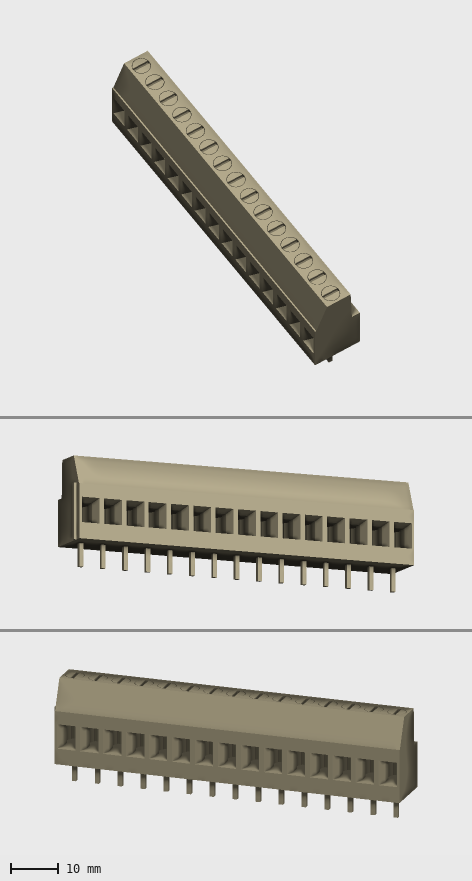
import cadquery as cq

total_length = 76.8
total_depth = 11.2
total_height = 23.0
pole_count = 15

rib_projection = 0.5
rib_width = 0.8
rib_height = 12.05
rib_front = 1.5

pin_length = 5.0
housing_length = total_length - rib_projection
housing_height = total_height - pin_length
pole_pitch = housing_length / pole_count
front_wall_height = 11.7
front_ledge = 0.3
slope_run = 3.0
rear_step_height = 10.0
rear_step_depth = 2.0
rear_top_setback = 2.3

pin_width = 0.9
pin_center_y = 5.3

entry_floor = 3.45
entry_width = 4.1
entry_height = 5.4
funnel_depth = 2.3
funnel_side_inset = 0.7
funnel_top_inset = 0.8
passage_width = entry_width - 2 * funnel_side_inset
passage_height = entry_height - funnel_top_inset
passage_end = 7.3

screw_center_y = 5.6
clamp_bore_diameter = 3.8
screw_diameter = 3.8
screw_hole_diameter = 4.0
screw_gap_depth = 0.9
slot_width = 0.8
slot_depth = 0.6

pole_points = [((i + 0.5) * pole_pitch, 0) for i in range(pole_count)]


def at_every_pole(shape):
    """Copies of one pole's shape, spaced along the housing."""
    return cq.Workplane("XY").pushPoints(pole_points).eachpoint(
        lambda place: shape.val().moved(place), combine=False
    )


def block(width, depth, height):
    """A box centred on X and Y that stands on Z = 0."""
    return cq.Workplane("XY").box(width, depth, height, centered=(True, True, False))


def make_housing():
    outline = [
        (0, 0),
        (total_depth, 0),
        (total_depth, rear_step_height),
        (total_depth - rear_step_depth, rear_step_height),
        (total_depth - rear_top_setback, housing_height),
        (slope_run, housing_height),
        (front_ledge, front_wall_height),
        (0, front_wall_height),
    ]
    return cq.Workplane("YZ").polyline(outline).close().extrude(housing_length)


def make_end_rib():
    rib = cq.Workplane("XY").box(2 * rib_projection, rib_width, rib_height, centered=(True, False, False))
    return rib.translate((0, rib_front, 0))


def make_pin():
    return block(pin_width, pin_width, pin_length).translate((0, pin_center_y, -pin_length))


def make_wire_entry():
    funnel = (
        cq.Workplane("XZ")
        .center(0, entry_floor + entry_height / 2)
        .rect(entry_width, entry_height)
        .workplane(offset=-funnel_depth)
        .center(0, (passage_height - entry_height) / 2)
        .rect(passage_width, passage_height)
        .loft(ruled=True)
    )
    passage_length = passage_end - funnel_depth
    passage = block(passage_width, passage_length, passage_height).translate(
        (0, funnel_depth + passage_length / 2, entry_floor)
    )
    bore = (
        cq.Workplane("XY", origin=(0, screw_center_y, entry_floor))
        .circle(clamp_bore_diameter / 2)
        .extrude(passage_height)
    )
    return funnel.union(passage).union(bore)


def make_screw_cut():
    top = cq.Workplane("XY", origin=(0, screw_center_y, housing_height))
    gap = top.circle(screw_hole_diameter / 2).circle(screw_diameter / 2).extrude(-screw_gap_depth)
    slot = top.rect(slot_width, screw_hole_diameter).extrude(-slot_depth)
    slot = slot.intersect(top.circle(screw_hole_diameter / 2).extrude(-slot_depth))
    return gap.union(slot)


housing = make_housing()
housing = housing.cut(at_every_pole(make_wire_entry()))
housing = housing.cut(at_every_pole(make_screw_cut()))
result = housing.union(make_end_rib()).union(at_every_pole(make_pin()))